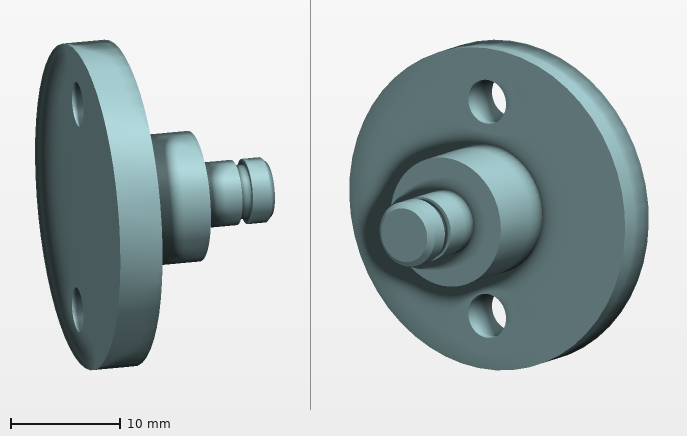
import cadquery as cq

flange_diameter = 30.0
flange_thickness = 4.0

hole_diameter = 4.1
hole_offset = 10.0

boss_diameter = 12.0
boss_length = 7.0

pin_diameter = 6.0
pin_length = 7.0
tip_chamfer = 0.5
groove_diameter = 5.0
groove_width = 1.0
groove_to_tip = 2.2

boss_end = flange_thickness + boss_length
pin_end = boss_end + pin_length
groove_start = pin_end - groove_to_tip - groove_width


def cylinder(diameter, start, length, z=0.0):
    """Cylinder along +Y, starting at y = start, with its axis at x = 0 and the given z."""
    axis_start = cq.Vector(0, start, z)
    axis_direction = cq.Vector(0, 1, 0)
    return cq.Workplane(cq.Solid.makeCylinder(diameter / 2, length, axis_start, axis_direction))


def make_flange():
    flange = cylinder(flange_diameter, 0, flange_thickness)
    for z in (-hole_offset, hole_offset):
        flange = flange.cut(cylinder(hole_diameter, 0, flange_thickness, z=z))
    return flange


def make_pin():
    pin = cylinder(pin_diameter, boss_end, pin_length).faces(">Y").chamfer(tip_chamfer)
    groove_outer = cylinder(pin_diameter, groove_start, groove_width)
    groove_core = cylinder(groove_diameter, groove_start, groove_width)
    return pin.cut(groove_outer.cut(groove_core))


boss = cylinder(boss_diameter, flange_thickness, boss_length)
result = make_flange().union(boss).union(make_pin())